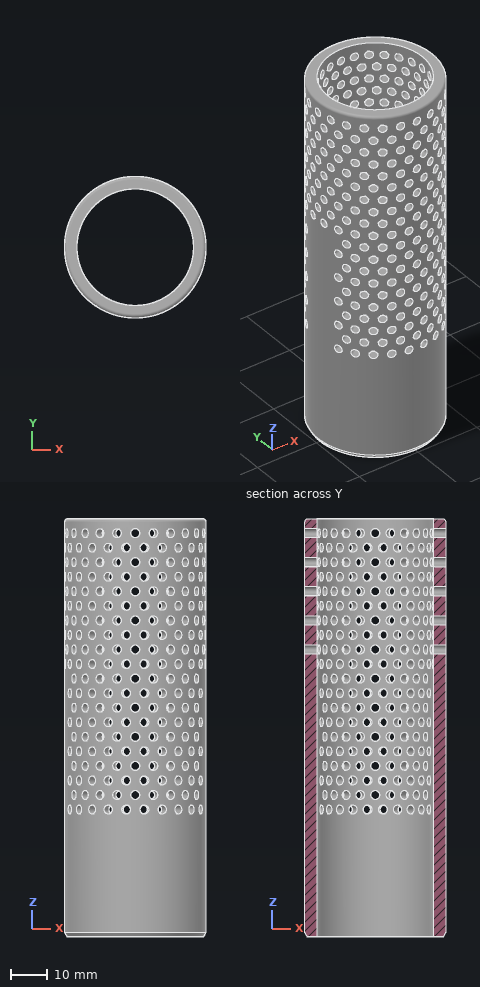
import cadquery as cq

outer_diameter = 39.0
bore_diameter = 32.0
length = 115.0
top_edge_radius = 1.0
bottom_chamfer_height = 1.25
bottom_chamfer_width = 0.7

hole_diameter = 2.4
holes_per_row = 24
row_count = 20
row_pitch = 4.0
first_row_depth = 4.0
angle_pitch = 360.0 / holes_per_row

full_row_count = 10
window_spacing = 180.0
window_half_angle = 1.25 * angle_pitch

outer_radius = outer_diameter / 2
bore_radius = bore_diameter / 2


def make_sleeve():
    """Plain tube with a rounded top rim and a chamfered bottom rim."""
    body = cq.Workplane("XY").circle(outer_radius).extrude(length)
    body = body.faces(">Z").edges().fillet(top_edge_radius)
    body = body.faces("<Z").edges().chamfer(bottom_chamfer_height, bottom_chamfer_width)
    bore = cq.Workplane("XY").circle(bore_radius).extrude(length)
    return body.cut(bore)


def is_in_window(angle):
    """True where the angle falls in one of the two opposite plain windows."""
    offset = angle % window_spacing
    return min(offset, window_spacing - offset) < window_half_angle


def row_angles(row):
    """Angles of the holes in one row; odd rows are shifted by half a pitch."""
    shift = angle_pitch / 2 if row % 2 else 0.0
    angles = [shift + i * angle_pitch for i in range(holes_per_row)]
    if row < full_row_count:
        return angles
    return [a for a in angles if not is_in_window(a)]


def make_hole_cutter(angle, height):
    """Radial pin that pierces the wall on one side only."""
    pin_start = bore_radius - hole_diameter / 2
    pin_length = outer_radius + hole_diameter / 2 - pin_start
    pin = cq.Solid.makeCylinder(
        hole_diameter / 2, pin_length, cq.Vector(pin_start, 0, height), cq.Vector(1, 0, 0)
    )
    return pin.rotate(cq.Vector(0, 0, 0), cq.Vector(0, 0, 1), angle)


def make_perforation():
    """All hole cutters of the staggered pattern."""
    cutters = []
    for row in range(row_count):
        height = length - first_row_depth - row * row_pitch
        for angle in row_angles(row):
            cutters.append(make_hole_cutter(angle, height))
    return cutters


result = cq.Workplane(make_sleeve().val().cut(*make_perforation()))